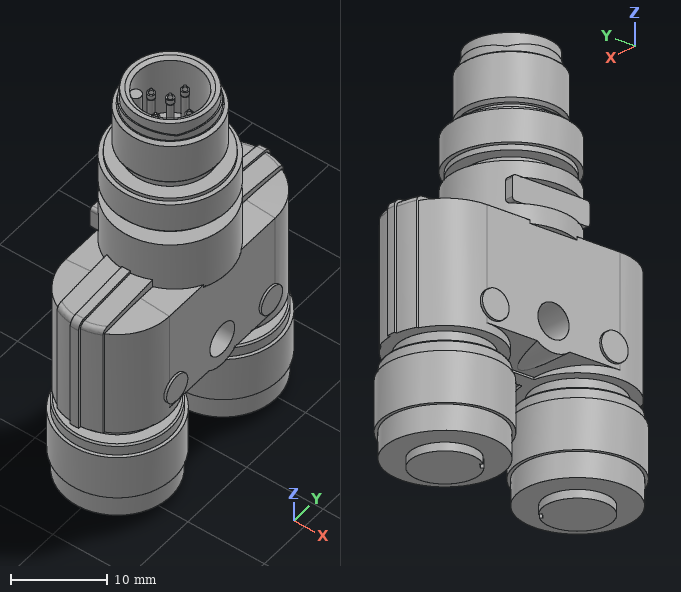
import cadquery as cq
import math


total_height = 50.1
socket_pitch = 18.0
socket_y = socket_pitch / 2

housing_radius = 6.8
housing_bottom_z = 13.05
housing_rim_z = 27.65
roof_slope = 5.0
skirt_z = 14.1
web_half_thickness = 1.0
web_top_z = 13.3

wide_rib_half_width = 3.0
wide_rib_radius = 7.0
rib_step = 0.325
narrow_rib_half_width = 0.55
narrow_rib_radius = wide_rib_radius + rib_step
wide_rib_peak_z = 29.6
narrow_rib_peak_z = wide_rib_peak_z + rib_step
wide_rib_corner_radius = 0.7
narrow_rib_corner_radius = wide_rib_corner_radius + rib_step

hole_radius = 2.1
hole_z = 17.05
eye_radius = 3.65

pad_radius = 1.8
pad_y = 8.05
pad_z = 16.45
pad_face_x = 7.1

collar_radius = 7.5
collar_bottom_z = 27.25
collar_top_z = 34.35
plug_neck_radius = 5.25
ring_radius = 7.5
ring_lip_radius = 6.95
ring_bottom_lip_z = 35.8
ring_bottom_z = 36.45
ring_top_z = 40.3
ring_top_lip_z = 40.75
nut_radius = 6.05
nut_bottom_edge_radius = 5.7
nut_top_edge_radius = 5.6
nut_bottom_z = 41.85
nut_bottom_chamfer = 0.4
nut_top_z = 47.8
nut_top_chamfer = 0.3
wave_ring_radius = 5.45
wave_peak_z = 48.9
wave_slope = 17.0
wave_cutter_tip_side = 0.05

mouth_radius = 4.7
bore_radius = 4.2
mouth_chamfer = 0.3
bore_floor_z = 42.05
key_radius = 0.7
key_distance = 3.6
key_top_z = 49.6
key_angle = 225.0
pin_stem_radius = 0.4
pin_head_radius = 0.475
pin_head_length = 0.7
pin_tip_base_radius = 0.3
pin_tip_radius = 0.15
pin_tip_length = 0.5
pin_spacing = 2.5
outer_pin_top_z = 48.25
center_pin_top_z = 49.1

label_face_x = 6.45
label_half_width = 5.25
label_bottom_z = 29.45
label_top_z = 32.45
label_corner_radius = 0.4

socket_neck_radius = 5.45
socket_flange_radius = 6.95
socket_grip_radius = 7.35
socket_core_radius = 4.05
socket_core_bottom_z = 0.0
socket_skirt_z = 1.0
socket_grip_bottom_z = 4.0
socket_grip_top_z = 9.95
socket_flange_top_z = 11.4
socket_flange_chamfer = 0.2
keyway_width = 0.9
keyway_depth = 0.4
keyway_angle = 225.0


def cylinder(radius, bottom_z, top_z, x=0.0, y=0.0):
    """Upright cylinder between two heights."""
    return cq.Workplane("XY", origin=(x, y, bottom_z)).circle(radius).extrude(top_z - bottom_z)


def cross_cylinder(radius, half_length, y, z):
    """Cylinder along X, centred on X = 0."""
    return cq.Workplane("YZ", origin=(0, y, z)).circle(radius).extrude(half_length, both=True)


def turned(profile):
    """Solid of revolution about the Z axis from (radius, height) points."""
    return cq.Workplane("XZ").polyline(profile).close().revolve(360, (0, 0), (0, 1))


def block(x_min, x_max, y_min, y_max, z_min, z_max):
    """Axis-aligned box from its limits."""
    size = (x_max - x_min, y_max - y_min, z_max - z_min)
    return cq.Workplane("XY", origin=(x_min, y_min, z_min)).box(*size, centered=False)


def stadium(radius, bottom_z, top_z):
    """Upright slab whose rounded ends are centred on the two sockets."""
    length = socket_pitch + 2 * radius
    sketch = cq.Workplane("XY", origin=(0, 0, bottom_z)).slot2D(length, 2 * radius, 90)
    return sketch.extrude(top_z - bottom_z)


def roof():
    """Hipped roof: a gable between the sockets and a shallow cone over each rounded end."""
    rise = housing_radius * math.tan(math.radians(roof_slope))
    gable = (
        cq.Workplane("XZ", origin=(0, socket_y, housing_rim_z))
        .polyline([(-housing_radius, 0), (housing_radius, 0), (0, rise)])
        .close()
        .extrude(socket_pitch)
    )
    for y in (-socket_y, socket_y):
        cone = cq.Solid.makeCone(housing_radius, 0, rise, cq.Vector(0, y, housing_rim_z))
        gable = gable.union(cq.Workplane(cone))
    return gable


def underside():
    """Underside between the sockets, sloping inwards and down to a narrow central web."""
    profile = [
        (-housing_radius, skirt_z),
        (-web_half_thickness, web_top_z),
        (-web_half_thickness, housing_bottom_z),
        (web_half_thickness, housing_bottom_z),
        (web_half_thickness, web_top_z),
        (housing_radius, skirt_z),
    ]
    return (
        cq.Workplane("XZ", origin=(0, socket_y, 0))
        .polyline(profile)
        .close()
        .extrude(socket_pitch)
    )


def rib(half_width, end_radius, peak_z, corner_radius):
    """Rib sloping down from the middle to both ends, with rounded upper end edges."""
    reach = socket_y + end_radius
    end_z = peak_z - reach * math.tan(math.radians(roof_slope))
    profile = [
        (0, skirt_z),
        (socket_y, skirt_z),
        (socket_y, housing_bottom_z),
        (reach, housing_bottom_z),
        (reach, end_z),
        (0, peak_z),
    ]
    wedge = (
        cq.Workplane("YZ")
        .polyline(profile)
        .close()
        .extrude(half_width, both=True)
    )
    half = wedge.intersect(stadium(end_radius, housing_bottom_z, peak_z))
    half = half.faces(">Y").edges(">Z").fillet(corner_radius)
    return half.union(half.mirror("XZ"))


def housing():
    """Flat housing with ribs, thinned below the skirt to two round ends, a web and the hole eye."""
    upper = stadium(housing_radius, skirt_z, housing_rim_z).union(roof())
    body = upper.union(underside())
    for y in (-socket_y, socket_y):
        body = body.union(cylinder(housing_radius, housing_bottom_z, skirt_z, y=y))
    eye = cross_cylinder(eye_radius, housing_radius, 0, hole_z)
    body = body.union(eye)
    wide_rib = rib(wide_rib_half_width, wide_rib_radius, wide_rib_peak_z, wide_rib_corner_radius)
    narrow_rib = rib(
        narrow_rib_half_width, narrow_rib_radius, narrow_rib_peak_z, narrow_rib_corner_radius
    )
    body = body.union(wide_rib).union(narrow_rib)
    for y in (-pad_y, pad_y):
        body = body.union(cross_cylinder(pad_radius, pad_face_x, y, pad_z))
    return body.cut(cross_cylinder(hole_radius, 2 * housing_radius, 0, hole_z))


def plug_body():
    """Turned outside of the plug, from the collar up to the mouth."""
    profile = [
        (0, collar_bottom_z),
        (collar_radius, collar_bottom_z),
        (collar_radius, collar_top_z),
        (plug_neck_radius, collar_top_z),
        (plug_neck_radius, ring_bottom_lip_z),
        (ring_lip_radius, ring_bottom_lip_z),
        (ring_lip_radius, ring_bottom_z),
        (ring_radius, ring_bottom_z),
        (ring_radius, ring_top_z),
        (ring_lip_radius, ring_top_z),
        (ring_lip_radius, ring_top_lip_z),
        (plug_neck_radius, ring_top_lip_z),
        (plug_neck_radius, nut_bottom_z),
        (nut_bottom_edge_radius, nut_bottom_z),
        (nut_radius, nut_bottom_z + nut_bottom_chamfer),
        (nut_radius, nut_top_z - nut_top_chamfer),
        (nut_top_edge_radius, nut_top_z),
        (plug_neck_radius, nut_top_z),
        (plug_neck_radius, total_height),
        (0, total_height),
    ]
    return turned(profile)


def wave_ring():
    """Thin ring whose top edge peaks on the X and Y axes and dips between them."""
    ring = cylinder(wave_ring_radius, nut_top_z, wave_peak_z)
    rise_angle = math.radians(wave_slope)
    floor_z = wave_peak_z - wave_ring_radius * math.tan(rise_angle)
    wide_side = 4 * wave_ring_radius
    pyramid_height = wide_side / 2 * math.tan(rise_angle)
    pyramid = (
        cq.Workplane("XY", origin=(0, 0, floor_z))
        .rect(wave_cutter_tip_side, wave_cutter_tip_side)
        .workplane(offset=pyramid_height)
        .rect(wide_side, wide_side)
        .loft(ruled=True)
    )
    return ring.cut(pyramid)


def plug_bore():
    """Blind bore with a conical lead-in at the mouth."""
    profile = [
        (0, bore_floor_z),
        (bore_radius, bore_floor_z),
        (bore_radius, total_height - mouth_chamfer),
        (mouth_radius, total_height),
        (0, total_height),
    ]
    return turned(profile)


def pin(x, y, top_z):
    """Contact pin standing on the bore floor: stem, thicker head and conical tip."""
    head_top_z = top_z - pin_tip_length
    head_bottom_z = head_top_z - pin_head_length
    profile = [
        (0, bore_floor_z),
        (pin_stem_radius, bore_floor_z),
        (pin_stem_radius, head_bottom_z),
        (pin_head_radius, head_bottom_z),
        (pin_head_radius, head_top_z),
        (pin_tip_base_radius, head_top_z),
        (pin_tip_radius, top_z),
        (0, top_z),
    ]
    return turned(profile).translate((x, y, 0))


def plug():
    """Plug with its wavy ring, bore, key and five pins."""
    body = plug_body().union(wave_ring()).cut(plug_bore())
    angle = math.radians(key_angle)
    key_x = key_distance * math.cos(angle)
    key_y = key_distance * math.sin(angle)
    key = cylinder(key_radius, bore_floor_z, key_top_z, key_x, key_y)
    body = body.union(key).union(pin(0, 0, center_pin_top_z))
    for x, y in ((1, 0), (-1, 0), (0, 1), (0, -1)):
        body = body.union(pin(x * pin_spacing, y * pin_spacing, outer_pin_top_z))
    return body


def label_block(inner_x, outer_x):
    """Rounded rectangular block along X, as wide and high as the label."""
    box = block(-outer_x, -inner_x, -label_half_width, label_half_width, label_bottom_z, label_top_z)
    return box.edges("|X").fillet(label_corner_radius)


def socket():
    """Turned socket on the Z axis with one keyway in its core."""
    profile = [
        (0, socket_core_bottom_z),
        (socket_core_radius, socket_core_bottom_z),
        (socket_core_radius, socket_skirt_z),
        (socket_flange_radius, socket_skirt_z),
        (socket_flange_radius, socket_grip_bottom_z),
        (socket_grip_radius, socket_grip_bottom_z),
        (socket_grip_radius, socket_grip_top_z),
        (socket_flange_radius, socket_grip_top_z),
        (socket_flange_radius, socket_flange_top_z - socket_flange_chamfer),
        (socket_flange_radius - socket_flange_chamfer, socket_flange_top_z),
        (socket_neck_radius, socket_flange_top_z),
        (socket_neck_radius, housing_bottom_z),
        (0, housing_bottom_z),
    ]
    body = turned(profile)
    keyway = block(
        socket_core_radius - keyway_depth,
        socket_core_radius + keyway_depth,
        -keyway_width / 2,
        keyway_width / 2,
        socket_core_bottom_z,
        socket_skirt_z,
    )
    return body.cut(keyway.rotate((0, 0, 0), (0, 0, 1), keyway_angle))


collared_plug = plug().cut(label_block(label_face_x, 2 * collar_radius))
label_plate = label_block(0, label_face_x)

first_socket = socket().translate((0, socket_y, 0))
second_socket = first_socket.rotate((0, 0, 0), (0, 0, 1), 180)

result = housing().union(collared_plug).union(label_plate).union(first_socket).union(second_socket)